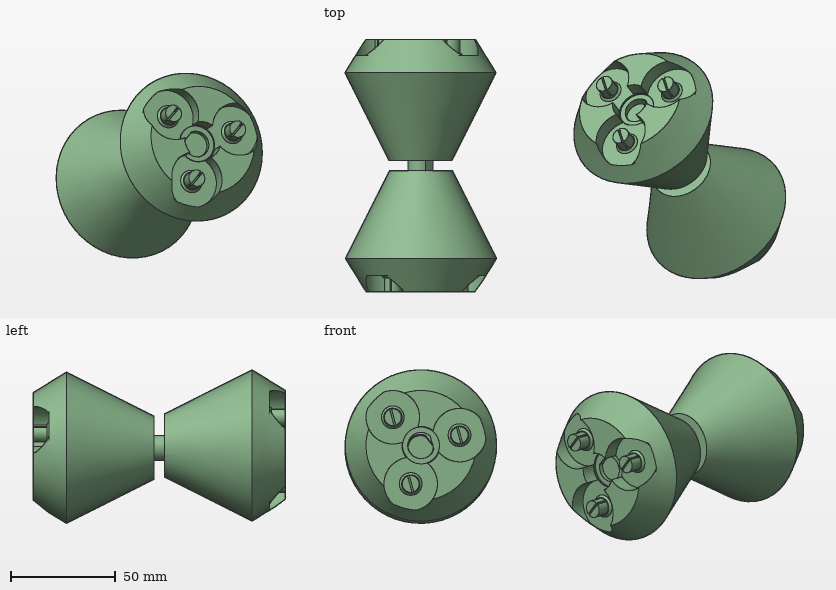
import cadquery as cq
import math

total_length = 120.2
knob_gap = 4.8
knob_length = (total_length - knob_gap) / 2

rim_diameter = 72.1
face_diameter = 52.4
neck_diameter = 30.0
face_taper_length = 15.9

pocket_count = 3
pocket_diameter = 25.5
pocket_circle_radius = 19.0
pocket_depth = 7.7
pin_diameter = 8.0
collar_base_diameter = 10.8
collar_top_diameter = 8.7
collar_height = 1.1
pin_slot_width = 0.8
pin_slot_depth = 6.7

entry_diameter = 18.2
recess_diameter = 17.5
recess_depth = pocket_depth + 1.0
bore_diameter = 12.5
bore_flat_distance = 5.4

shaft_diameter = 12.0
shaft_flat_distance = 5.3
shaft_end_depth = recess_depth + 2.0
shaft_length = total_length - 2 * shaft_end_depth

front_angle = 15.0
rear_angle = 39.0
front_offset_x = 0.2
front_offset_z = 1.1
shaft_drop = 0.1


def cylinder(diameter, length):
    return cq.Workplane("XY").circle(diameter / 2).extrude(length)


def d_bar(diameter, flat_distance, length):
    """Bar along +Z with one flat facing +X."""
    bar = cylinder(diameter, length)
    keep = cq.Workplane("XY").rect(diameter, diameter).extrude(length)
    return bar.intersect(keep.translate((flat_distance - diameter / 2, 0, 0)))


def slotted_pin():
    """Pin with a conical collar at its foot and a slot that just nicks the collar."""
    pin = (
        cq.Workplane("XZ")
        .moveTo(0, 0)
        .lineTo(collar_base_diameter / 2, 0)
        .lineTo(collar_top_diameter / 2, collar_height)
        .lineTo(pin_diameter / 2, collar_height)
        .lineTo(pin_diameter / 2, pocket_depth)
        .lineTo(0, pocket_depth)
        .close()
        .revolve(360, (0, 0), (0, 1))
    )
    slot = (
        cq.Workplane("XY", origin=(0, 0, pocket_depth - pin_slot_depth))
        .rect(pin_slot_width, collar_top_diameter)
        .extrude(pin_slot_depth)
    )
    return pin.cut(slot)


def make_knob():
    """Knob along Z: neck end at Z = 0, pocketed face at Z = knob_length."""
    knob = (
        cq.Workplane("XZ")
        .moveTo(0, 0)
        .lineTo(neck_diameter / 2, 0)
        .lineTo(rim_diameter / 2, knob_length - face_taper_length)
        .lineTo(face_diameter / 2, knob_length)
        .lineTo(0, knob_length)
        .close()
        .revolve(360, (0, 0), (0, 1))
    )
    knob = knob.cut(d_bar(bore_diameter, bore_flat_distance, knob_length))
    knob = knob.cut(cylinder(entry_diameter, pocket_depth).translate((0, 0, knob_length - pocket_depth)))
    knob = knob.cut(cylinder(recess_diameter, recess_depth).translate((0, 0, knob_length - recess_depth)))

    pocket_floor = knob_length - pocket_depth
    for index in range(pocket_count):
        angle = math.radians(index * 360 / pocket_count)
        place = (
            pocket_circle_radius * math.cos(angle),
            pocket_circle_radius * math.sin(angle),
            pocket_floor,
        )
        knob = knob.cut(cylinder(pocket_diameter, pocket_depth).translate(place))
        knob = knob.union(slotted_pin().translate(place))
    return knob


def face_front(body, angle):
    """Turn a body from +Z to -Y, with its +X side at the given angle from X towards Z."""
    body = body.rotate((0, 0, 0), (0, 0, 1), angle)
    return body.rotate((0, 0, 0), (1, 0, 0), 90)


def face_rear(body, angle):
    """Turn a body from +Z to +Y, with its +X side at the given angle from X towards Z."""
    body = body.rotate((0, 0, 0), (0, 0, 1), -angle)
    return body.rotate((0, 0, 0), (1, 0, 0), -90)


def make_shaft():
    shaft = d_bar(shaft_diameter, shaft_flat_distance, shaft_length)
    return face_rear(shaft, rear_angle).translate((0, -shaft_length / 2, -shaft_drop))


shaft = make_shaft()

rear_knob = face_rear(make_knob(), rear_angle).translate((0, knob_gap / 2, 0))

front_knob = (
    face_front(make_knob(), front_angle)
    .translate((front_offset_x, -knob_gap / 2, front_offset_z))
    .cut(shaft)
)

result = cq.Compound.makeCompound([body.solids().val() for body in (rear_knob, front_knob, shaft)])